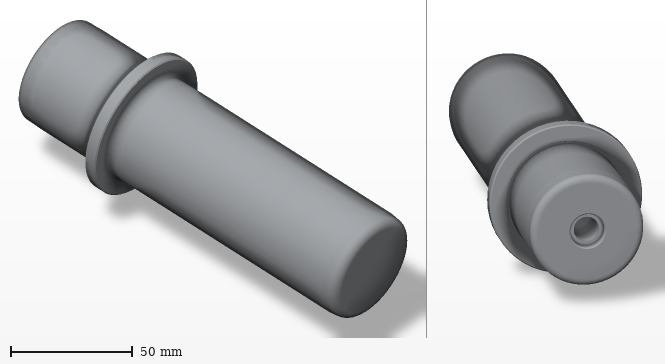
import cadquery as cq
import math

length = 175.0
flange_radius = 32.0
body_radius = 24.0
flange_start = 45.0
flange_width = 6.0
flange_end = flange_start + flange_width
flange_chamfer = 0.5

left_round = 3.0
left_lead_length = 9.6
left_lead_drop = 0.2

right_round = 3.5
right_lead_length = 7.2
right_lead_angle = math.radians(7)

undercut_width = 1.0
undercut_depth = 0.4
undercut_face_depth = 0.2
undercut_outer_radius = 25.0

root_fillet = 2.0
collar_end = 58.6
collar_step = 0.09
step_length = 0.5

recess_radius = 7.7
recess_rim_chamfer = 0.5
recess_depth = 3.2
hole_radius = 5.2
hole_depth = 21.0
drill_point_angle = 118.0

DIAGONAL = math.sqrt(0.5)


def turn(outline):
    return outline.close().revolve(360, (0, 0, 0), (1, 0, 0))


def make_shaft():
    left_rim = body_radius - left_lead_drop
    collar_radius = body_radius - collar_step
    undercut_floor = body_radius - undercut_depth
    undercut_start = flange_start - undercut_width
    undercut_end = flange_start + undercut_face_depth
    round_middle_left = left_round * (1 - DIAGONAL)
    right_center_x = length - right_round
    right_tangent_x = right_center_x + right_round * math.sin(right_lead_angle)
    taper_length = right_tangent_x - (length - right_lead_length)
    right_tangent_radius = body_radius - taper_length * math.tan(right_lead_angle)
    right_center_radius = right_tangent_radius - right_round * math.cos(right_lead_angle)
    fillet_middle = root_fillet * (1 - DIAGONAL)
    return turn(
        cq.Workplane("XY")
        .moveTo(0, 0)
        .lineTo(0, left_rim - left_round)
        .threePointArc((round_middle_left, left_rim - round_middle_left), (left_round, left_rim))
        .lineTo(left_lead_length, body_radius)
        .lineTo(undercut_start, body_radius)
        .lineTo(undercut_start + undercut_depth, undercut_floor)
        .lineTo(undercut_end, undercut_floor)
        .lineTo(undercut_end, undercut_outer_radius - undercut_face_depth)
        .lineTo(flange_start, undercut_outer_radius)
        .lineTo(flange_start, flange_radius - flange_chamfer)
        .lineTo(flange_start + flange_chamfer, flange_radius)
        .lineTo(flange_end - flange_chamfer, flange_radius)
        .lineTo(flange_end, flange_radius - flange_chamfer)
        .lineTo(flange_end, collar_radius + root_fillet)
        .threePointArc(
            (flange_end + fillet_middle, collar_radius + fillet_middle),
            (flange_end + root_fillet, collar_radius),
        )
        .lineTo(collar_end, collar_radius)
        .lineTo(collar_end + step_length, body_radius)
        .lineTo(length - right_lead_length, body_radius)
        .lineTo(right_tangent_x, right_tangent_radius)
        .threePointArc(
            (right_center_x + right_round * DIAGONAL, right_center_radius + right_round * DIAGONAL),
            (length, right_center_radius),
        )
        .lineTo(length, 0)
    )


def make_centre_hole():
    point_length = hole_radius / math.tan(math.radians(drill_point_angle / 2))
    return turn(
        cq.Workplane("XY")
        .moveTo(0, 0)
        .lineTo(0, recess_radius)
        .lineTo(recess_rim_chamfer, recess_radius - recess_rim_chamfer)
        .lineTo(recess_depth, recess_radius - recess_rim_chamfer)
        .lineTo(recess_depth, hole_radius)
        .lineTo(hole_depth, hole_radius)
        .lineTo(hole_depth + point_length, 0)
    )


result = make_shaft().cut(make_centre_hole())